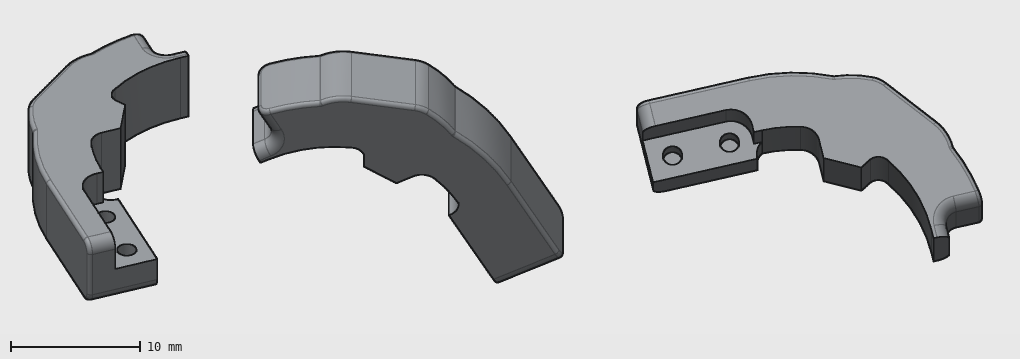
import cadquery as cq
import math

length = 24.25
width = 16.12
height = 5.9

center_x = 15.32
center_y = 15.42
outer_radius = center_y
inner_radius = 10.9

end_radius = 1.0
outer_edge_radius = 0.35

facet_front = (5.05, 2.9)
facet_back = (1.99, 6.88)
front_bend = (5.91, 2.2)
front_shoulder_x = 8.85
back_shoulder_y = 9.2
shoulder_blend_radius = 0.12

shoulder_y = 14.1
tip_left = 3.15
tip_corner_radius = 1.0

lug_start_y = 9.2
lug_valley_middle = (7.0, 8.7)
lug_valley_end = (7.68, 8.75)
lug_peak = (8.5, 9.24)
lug_right = 11.17
lug_shoulder_y = 7.8
lug_root_y = 6.18
lug_root_middle = (11.51, 5.4)
lug_root_end_x = 12.36

tab_left = 15.93
tab_back = 5.75
tab_front = 2.25
tab_corner_radius = 1.7
tab_height = height / 2
tab_root_x = 15.27
tab_root_bulge = (15.78, 5.02)
hole_diameter = 1.5
hole_depth = hole_diameter
hole_y = 3.98
hole_xs = (17.75, 22.28)


def arc_point(radius, angle):
    """Point on a body arc; the angle is in degrees from +X."""
    turn = math.radians(angle)
    return (center_x + radius * math.cos(turn), center_y + radius * math.sin(turn))


def arc_point_at_x(radius, x):
    """Point on the lower half of a body arc at the given X."""
    return (x, center_y - math.sqrt(radius**2 - (x - center_x) ** 2))


def arc_point_at_y(radius, y):
    """Point on the left half of a body arc at the given Y."""
    return (center_x - math.sqrt(radius**2 - (y - center_y) ** 2), y)


def tangent_arc_middle(start, direction, end):
    """Middle of the arc that leaves start along an angle in radians and stops at end."""
    chord_x = end[0] - start[0]
    chord_y = end[1] - start[1]
    half_chord = math.hypot(chord_x, chord_y) / 2
    middle_angle = (direction + math.atan2(chord_y, chord_x)) / 2
    reach = half_chord / math.cos(middle_angle - math.atan2(chord_y, chord_x))
    return (start[0] + reach * math.cos(middle_angle), start[1] + reach * math.sin(middle_angle))


facet_angle = math.atan2(facet_back[1] - facet_front[1], facet_back[0] - facet_front[0])
front_shoulder = arc_point_at_x(outer_radius, front_shoulder_x)
back_shoulder = arc_point_at_y(outer_radius, back_shoulder_y)
back_shoulder_middle = tangent_arc_middle(facet_back, facet_angle, back_shoulder)


def make_body():
    tip_right = center_x - inner_radius
    corner_mid = tip_corner_radius * (1 - math.sqrt(0.5))
    outline = (
        cq.Workplane("XY")
        .moveTo(*facet_back)
        .lineTo(*facet_front)
        .tangentArcPoint(front_bend, relative=False)
        .tangentArcPoint(front_shoulder, relative=False)
        .threePointArc(arc_point(outer_radius, -105), (center_x, 0))
        .lineTo(length, 0)
        .lineTo(length, tab_back)
        .lineTo(tab_left, tab_back)
        .threePointArc(tab_root_bulge, arc_point_at_x(inner_radius, tab_root_x))
        .threePointArc(arc_point(inner_radius, -97), arc_point_at_x(inner_radius, lug_root_end_x))
        .threePointArc(lug_root_middle, (lug_right, lug_root_y))
        .lineTo(lug_right, lug_shoulder_y)
        .lineTo(*lug_peak)
        .lineTo(*lug_valley_end)
        .threePointArc(lug_valley_middle, arc_point_at_y(inner_radius, lug_start_y))
        .threePointArc(arc_point(inner_radius, -165), (tip_right, center_y))
        .lineTo(tip_right, width)
        .lineTo(tip_left, width)
        .lineTo(tip_left, shoulder_y + tip_corner_radius)
        .threePointArc(
            (tip_left - corner_mid, shoulder_y + corner_mid),
            (tip_left - tip_corner_radius, shoulder_y),
        )
        .lineTo(*arc_point_at_y(outer_radius, shoulder_y))
        .threePointArc(arc_point(outer_radius, -165), back_shoulder)
        .threePointArc(back_shoulder_middle, facet_back)
        .close()
    )
    body = outline.extrude(height)
    corners = [
        body.edges(cq.selectors.NearestToPointSelector((x, y, height / 2))).val()
        for x, y in (front_shoulder, back_shoulder)
    ]
    return body.newObject(corners).fillet(shoulder_blend_radius)


def edges_near(body, points):
    """Top and bottom edges that pass closest to the given plan points."""
    edges = []
    for x, y in points:
        for face, z in (("<Z", 0), (">Z", height)):
            selector = cq.selectors.NearestToPointSelector((x, y, z))
            edges.extend(body.faces(face).edges(selector).vals())
    return edges


def round_ends(body):
    corner_mid = tip_corner_radius * (1 - math.sqrt(0.5))
    chain = [
        (tip_left, (width + shoulder_y + tip_corner_radius) / 2),
        (tip_left - corner_mid, shoulder_y + corner_mid),
        ((tip_left - tip_corner_radius) / 2, shoulder_y),
        (length, tab_back / 2),
    ]
    return body.newObject(edges_near(body, chain)).fillet(end_radius)


def round_outer_wall(body):
    """Round the whole rim of the outer wall, leaving the joints between its faces alone."""
    wall_points = [
        ((length + center_x) / 2, 0),
        arc_point(outer_radius, -105),
        front_shoulder,
        ((front_bend[0] + front_shoulder[0]) / 2, (front_bend[1] + front_shoulder[1]) / 2),
        ((facet_front[0] + front_bend[0]) / 2, (facet_front[1] + front_bend[1]) / 2),
        ((facet_front[0] + facet_back[0]) / 2, (facet_front[1] + facet_back[1]) / 2),
        back_shoulder_middle,
        back_shoulder,
        arc_point(outer_radius, -165),
    ]
    faces = [
        min(body.faces().vals(), key=lambda face: face.distance(cq.Vertex.makeVertex(x, y, height / 2)))
        for x, y in wall_points
    ]
    uses = {}
    for face in faces:
        for edge in face.Edges():
            uses.setdefault(edge.hashCode(), []).append(edge)
    rim = [edges[0] for edges in uses.values() if len(edges) == 1]
    return body.newObject(rim).fillet(outer_edge_radius)


def make_tab_clearance():
    """Space above the tab, clearing it down to half thickness."""
    depth = height - tab_height
    tab_length = length - tab_left
    pocket = (
        cq.Workplane("XY", origin=(0, 0, tab_height))
        .rect(tab_length + tab_corner_radius, width, centered=False)
        .extrude(depth)
        .edges("|Z and <X and <Y")
        .fillet(tab_corner_radius)
        .translate((tab_left, tab_front, 0))
    )
    root_bottom = center_y - inner_radius
    root = (
        cq.Workplane("XY", origin=(tab_root_x, root_bottom, tab_height))
        .rect(tab_left - tab_root_x, tab_back - root_bottom, centered=False)
        .extrude(depth)
    )
    return pocket.union(root)


def make_holes():
    return (
        cq.Workplane("XY", origin=(0, 0, tab_height - hole_depth))
        .pushPoints([(x, hole_y) for x in hole_xs])
        .circle(hole_diameter / 2)
        .extrude(hole_depth)
    )


body = round_outer_wall(round_ends(make_body()))
result = body.cut(make_tab_clearance()).cut(make_holes())